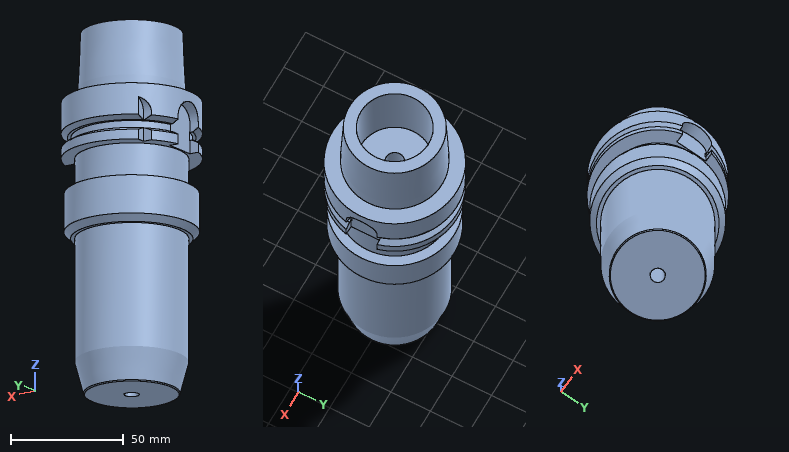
import cadquery as cq
import math

LENGTH = 167.0
SHANK_TAPER_Z = 141.1
FLANGE_TOP_Z = 135.1
FLANGE_BOTTOM_Z = 109.0
GROOVE_TOP_Z = 118.9
GROOVE_BOTTOM_Z = 115.2
GROOVE_FLANK_HEIGHT = 1.7
GROOVE_FLANK_ANGLE = 30.0
COLLAR_TOP_Z = 92.9
COLLAR_BOTTOM_Z = 72.1
COLLAR_CHAMFER = 3.0
NOSE_Z = 14.9
NOSE_CHAMFER = 0.5

SHANK_TIP_RADIUS = 22.9
SHANK_BASE_RADIUS = 24.0
FLANGE_DIAMETER = 63.0
FLANGE_RADIUS = FLANGE_DIAMETER / 2
GROOVE_RADIUS = 27.0
GROOVE_LIP_RADIUS = FLANGE_RADIUS - GROOVE_FLANK_HEIGHT / math.tan(math.radians(GROOVE_FLANK_ANGLE))
COLLAR_RADIUS = 30.2
BODY_RADIUS = 25.4
NOSE_RADIUS = 21.5

SOCKET_RADIUS = 17.0
SOCKET_FLOOR_Z = FLANGE_TOP_Z
COUNTERBORE_RADIUS = 4.3
COUNTERBORE_DEPTH = 10.0
THROUGH_RADIUS = 3.3

SLOT_WIDTH = 15.7
SLOT_TOP_Z = 130.3
SLOT_FLOOR_X = 26.0

NOTCH_SIDE_Y = 19.9
NOTCH_TOP_Z = 129.6
NOTCH_FLOOR_X = 20.2


def revolved_body():
    """Revolve the outer profile about Z."""
    profile = [
        (0, 0),
        (NOSE_RADIUS - NOSE_CHAMFER, 0),
        (NOSE_RADIUS, NOSE_CHAMFER),
        (BODY_RADIUS, NOSE_Z),
        (BODY_RADIUS, COLLAR_BOTTOM_Z),
        (COLLAR_RADIUS - COLLAR_CHAMFER, COLLAR_BOTTOM_Z),
        (COLLAR_RADIUS, COLLAR_BOTTOM_Z + COLLAR_CHAMFER),
        (COLLAR_RADIUS, COLLAR_TOP_Z),
        (BODY_RADIUS, COLLAR_TOP_Z),
        (BODY_RADIUS, FLANGE_BOTTOM_Z),
        (FLANGE_RADIUS, FLANGE_BOTTOM_Z),
        (FLANGE_RADIUS, GROOVE_BOTTOM_Z - GROOVE_FLANK_HEIGHT),
        (GROOVE_LIP_RADIUS, GROOVE_BOTTOM_Z),
        (GROOVE_RADIUS, GROOVE_BOTTOM_Z),
        (GROOVE_RADIUS, GROOVE_TOP_Z),
        (GROOVE_LIP_RADIUS, GROOVE_TOP_Z),
        (FLANGE_RADIUS, GROOVE_TOP_Z + GROOVE_FLANK_HEIGHT),
        (FLANGE_RADIUS, FLANGE_TOP_Z),
        (SHANK_BASE_RADIUS, FLANGE_TOP_Z),
        (SHANK_BASE_RADIUS, SHANK_TAPER_Z),
        (SHANK_TIP_RADIUS, LENGTH),
        (0, LENGTH),
    ]
    return cq.Workplane("XZ").polyline(profile).close().revolve(360, (0, 0), (0, 1))


def bore(radius, bottom_z, top_z):
    """Cylinder on the Z axis between two levels."""
    return cq.Workplane("XY").workplane(offset=bottom_z).circle(radius).extrude(top_z - bottom_z)


def flange_slot(center_y, floor_x, top_z):
    """Cutter for a round-topped slot, open downwards, from floor_x out past the -X rim."""
    half_width = SLOT_WIDTH / 2
    arch_z = top_z - half_width
    return (
        cq.Workplane("YZ", origin=(-floor_x, center_y, 0))
        .moveTo(-half_width, FLANGE_BOTTOM_Z)
        .lineTo(-half_width, arch_z)
        .threePointArc((0, top_z), (half_width, arch_z))
        .lineTo(half_width, FLANGE_BOTTOM_Z)
        .close()
        .extrude(-FLANGE_RADIUS)
    )


drive_slot = flange_slot(0, SLOT_FLOOR_X, SLOT_TOP_Z)
orientation_notch = flange_slot(NOTCH_SIDE_Y + SLOT_WIDTH / 2, NOTCH_FLOOR_X, NOTCH_TOP_Z)

result = (
    revolved_body()
    .cut(bore(SOCKET_RADIUS, SOCKET_FLOOR_Z, LENGTH))
    .cut(bore(COUNTERBORE_RADIUS, SOCKET_FLOOR_Z - COUNTERBORE_DEPTH, SOCKET_FLOOR_Z))
    .cut(bore(THROUGH_RADIUS, 0, SOCKET_FLOOR_Z))
    .cut(drive_slot)
    .cut(drive_slot.mirror("YZ"))
    .cut(orientation_notch)
)